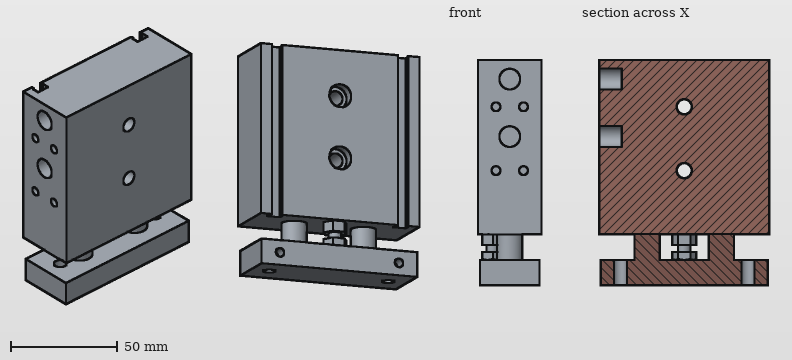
import cadquery as cq
import math

TOTAL_HEIGHT = 106.0

PLATE_DEPTH = 28.0
PLATE_WIDTH = 78.5
PLATE_HEIGHT = 12.0
ROD_DIAMETER = 12.0
ROD_SPACING = 35.0
ROD_LENGTH = 12.0
PLATE_HOLE_SPACING = 60.0
PLATE_BOLT_DIAMETER = 6.0
PLATE_TAP_DIAMETER = 4.1
PLATE_TAP_DEPTH = 8.0

HOUSING_DEPTH = 30.0
HOUSING_WIDTH = 80.0
HOUSING_BOTTOM = PLATE_HEIGHT + ROD_LENGTH
HOUSING_HEIGHT = TOTAL_HEIGHT - HOUSING_BOTTOM
FACE_X = -HOUSING_DEPTH / 2
FACE_Y = -HOUSING_WIDTH / 2

SLOT_OFFSET = 31.8
SLOT_MOUTH_WIDTH = 5.2
SLOT_INNER_WIDTH = 6.4
SLOT_LIP = 1.4
SLOT_DEPTH = 5.1

MOUNT_LEVELS = [TOTAL_HEIGHT - 22.0, TOTAL_HEIGHT - 52.0]
MOUNT_DIAMETER = 7.0
COUNTERBORE_DIAMETER = 11.0
COUNTERBORE_DEPTH = 6.1
SIDE_TAP_DIAMETER = 4.1
SIDE_TAP_SPACING = 12.9
SIDE_TAP_DEPTH = 8.5

PORT_LEVELS = [TOTAL_HEIGHT - 9.0, TOTAL_HEIGHT - 36.0]
PORT_DIAMETER = 9.8
PORT_DEPTH = 10.6

BOLT_X = -8.0
BOLT_DIAMETER = 6.0
HEX_ACROSS_FLATS = 10.0
HEX_HALF_ANGLE = 30.0
HEAD_HEIGHT = 5.0
NUT_HEIGHT = 3.8
NUT_CHAMFER_ANGLE = 30.0


def bore_x(start_x, y, z, diameter, depth):
    """Cylinder that runs in +X from start_x."""
    return cq.Workplane(cq.Solid.makeCylinder(
        diameter / 2, depth, cq.Vector(start_x, y, z), cq.Vector(1, 0, 0)))


def bore_y(x, start_y, z, diameter, depth):
    """Cylinder that runs in +Y from start_y."""
    return cq.Workplane(cq.Solid.makeCylinder(
        diameter / 2, depth, cq.Vector(x, start_y, z), cq.Vector(0, 1, 0)))


def make_t_slot(y):
    """Full-height T-slot cutter centred on y."""
    base = cq.Workplane("XY", origin=(FACE_X, y, HOUSING_BOTTOM))
    mouth = base.rect(2 * SLOT_DEPTH, SLOT_MOUTH_WIDTH).extrude(HOUSING_HEIGHT)
    inner_depth = SLOT_DEPTH - SLOT_LIP
    inner = (
        base.center(SLOT_LIP + inner_depth / 2, 0)
        .rect(inner_depth, SLOT_INNER_WIDTH)
        .extrude(HOUSING_HEIGHT)
    )
    return mouth.union(inner)


def make_housing():
    """Block with T-slots, mounting holes, ports and tapped holes."""
    block = (
        cq.Workplane("XY", origin=(0, 0, HOUSING_BOTTOM))
        .rect(HOUSING_DEPTH, HOUSING_WIDTH)
        .extrude(HOUSING_HEIGHT)
    )
    for y in (-SLOT_OFFSET, SLOT_OFFSET):
        block = block.cut(make_t_slot(y))
    for z in MOUNT_LEVELS:
        block = block.cut(bore_x(FACE_X, 0, z, MOUNT_DIAMETER, HOUSING_DEPTH))
        block = block.cut(bore_x(FACE_X, 0, z, COUNTERBORE_DIAMETER, COUNTERBORE_DEPTH))
        for x in (-SIDE_TAP_SPACING / 2, SIDE_TAP_SPACING / 2):
            block = block.cut(bore_y(x, FACE_Y, z, SIDE_TAP_DIAMETER, SIDE_TAP_DEPTH))
    for z in PORT_LEVELS:
        block = block.cut(bore_y(0, FACE_Y, z, PORT_DIAMETER, PORT_DEPTH))
    return block


def make_rod_plate():
    """End plate with its two guide rods, which reach the housing underside."""
    plate = cq.Workplane("XY").rect(PLATE_DEPTH, PLATE_WIDTH).extrude(PLATE_HEIGHT)
    for y in (-PLATE_HOLE_SPACING / 2, PLATE_HOLE_SPACING / 2):
        bolt_hole = cq.Workplane("XY").center(0, y).circle(PLATE_BOLT_DIAMETER / 2).extrude(PLATE_HEIGHT)
        tap = bore_x(-PLATE_DEPTH / 2, y, PLATE_HEIGHT / 2, PLATE_TAP_DIAMETER, PLATE_TAP_DEPTH)
        plate = plate.cut(bolt_hole).cut(tap)
    rods = (
        cq.Workplane("XY", origin=(0, 0, PLATE_HEIGHT))
        .pushPoints([(0, -ROD_SPACING / 2), (0, ROD_SPACING / 2)])
        .circle(ROD_DIAMETER / 2)
        .extrude(ROD_LENGTH)
    )
    return plate.union(rods)


def make_hexagon(bottom_z, height):
    """Hexagonal prism on the bolt axis with corners toward +Y and -Y."""
    across_corners = HEX_ACROSS_FLATS / math.cos(math.radians(HEX_HALF_ANGLE))
    return (
        cq.Workplane("XY", origin=(BOLT_X, 0, bottom_z))
        .transformed(rotate=(0, 0, 90))
        .polygon(6, across_corners)
        .extrude(height)
    )


def make_stop_bolt():
    """Hex head under the housing, shank, and a nut with a chamfered underside."""
    head = make_hexagon(HOUSING_BOTTOM - HEAD_HEIGHT, HEAD_HEIGHT)
    flat_radius = HEX_ACROSS_FLATS / 2
    cone_radius = flat_radius + NUT_HEIGHT / math.tan(math.radians(NUT_CHAMFER_ANGLE))
    chamfer_cone = cq.Workplane(cq.Solid.makeCone(
        flat_radius, cone_radius, NUT_HEIGHT, cq.Vector(BOLT_X, 0, PLATE_HEIGHT)))
    nut = make_hexagon(PLATE_HEIGHT, NUT_HEIGHT).intersect(chamfer_cone)
    shank = (
        cq.Workplane("XY", origin=(BOLT_X, 0, PLATE_HEIGHT))
        .circle(BOLT_DIAMETER / 2)
        .extrude(ROD_LENGTH)
    )
    return shank.union(head).union(nut)


housing = make_housing()
rod_plate = make_rod_plate()
stop_bolt = make_stop_bolt()

result = cq.Compound.makeCompound([housing.solids().val(), rod_plate.solids().val(), stop_bolt.solids().val()])